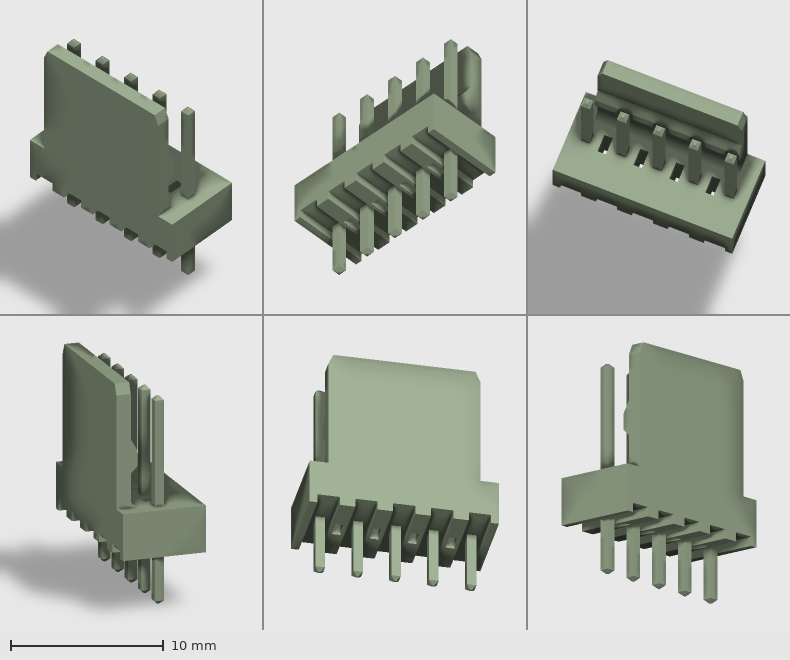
import cadquery as cq

PIN_COUNT = 5
BASE_LENGTH = 12.7
PITCH = BASE_LENGTH / PIN_COUNT

BASE_DEPTH = 5.8
BASE_BOTTOM = 3.54
BASE_HEIGHT = 3.2
BASE_TOP = BASE_BOTTOM + BASE_HEIGHT

GROOVE_WIDTH = 1.5
GROOVE_DEPTH = 0.63

SLOT_WIDTH = 0.6
SLOT_DEPTH = 1.2

PIN_SIZE = 0.64
PIN_TOP = 14.22
PIN_TIP_CHAMFER = 0.25
PIN_ROW_Y = BASE_DEPTH / 2

WALL_TOP = 15.26
WALL_LENGTH = 10.2
WALL_THICKNESS = 1.0
WALL_CORNER_RUN = 0.32
WALL_CORNER_DROP = 0.73
ROOT_FILLET_RADIUS = 0.58

RIDGE_CREST_Y = 1.48
RIDGE_LOWER_FOOT_Z = 9.06
RIDGE_LOWER_CREST_Z = 9.54
RIDGE_UPPER_CREST_Z = 10.62
RIDGE_UPPER_FOOT_Z = 11.43


def row_positions(count):
    """Centred positions along X, spaced one pitch apart."""
    return [(i - (count - 1) / 2) * PITCH for i in range(count)]


def block(x_size, y_size, z_size, x, y, z):
    """Box centred on x and y, standing on height z."""
    return (
        cq.Workplane("XY")
        .box(x_size, y_size, z_size, centered=(True, True, False))
        .translate((x, y, z))
    )


def make_base():
    base = block(BASE_LENGTH, BASE_DEPTH, BASE_HEIGHT, 0, PIN_ROW_Y, BASE_BOTTOM)
    for x in row_positions(PIN_COUNT):
        base = base.cut(block(GROOVE_WIDTH, BASE_DEPTH, GROOVE_DEPTH, x, PIN_ROW_Y, BASE_BOTTOM))
    for x in row_positions(PIN_COUNT - 1):
        base = base.cut(block(SLOT_WIDTH, SLOT_DEPTH, BASE_HEIGHT, x, PIN_ROW_Y, BASE_BOTTOM))
    return base


def make_wall():
    wall = (
        cq.Workplane("YZ")
        .moveTo(0, BASE_TOP)
        .lineTo(WALL_THICKNESS + ROOT_FILLET_RADIUS, BASE_TOP)
        .radiusArc((WALL_THICKNESS, BASE_TOP + ROOT_FILLET_RADIUS), ROOT_FILLET_RADIUS)
        .lineTo(WALL_THICKNESS, RIDGE_LOWER_FOOT_Z)
        .lineTo(RIDGE_CREST_Y, RIDGE_LOWER_CREST_Z)
        .lineTo(RIDGE_CREST_Y, RIDGE_UPPER_CREST_Z)
        .lineTo(WALL_THICKNESS, RIDGE_UPPER_FOOT_Z)
        .lineTo(WALL_THICKNESS, WALL_TOP)
        .lineTo(0, WALL_TOP)
        .close()
        .extrude(WALL_LENGTH / 2, both=True)
    )
    for side in (-1, 1):
        end_x = side * WALL_LENGTH / 2
        corner = (
            cq.Workplane("XZ")
            .moveTo(end_x, WALL_TOP)
            .lineTo(end_x - side * WALL_CORNER_RUN, WALL_TOP)
            .lineTo(end_x, WALL_TOP - WALL_CORNER_DROP)
            .close()
            .extrude(-WALL_THICKNESS)
        )
        wall = wall.cut(corner)
    return wall


def make_pin(x):
    pin = block(PIN_SIZE, PIN_SIZE, PIN_TOP, x, PIN_ROW_Y, 0)
    return pin.faces("<Z or >Z").edges().chamfer(PIN_TIP_CHAMFER)


result = make_base().union(make_wall())
for pin_x in row_positions(PIN_COUNT):
    result = result.union(make_pin(pin_x))